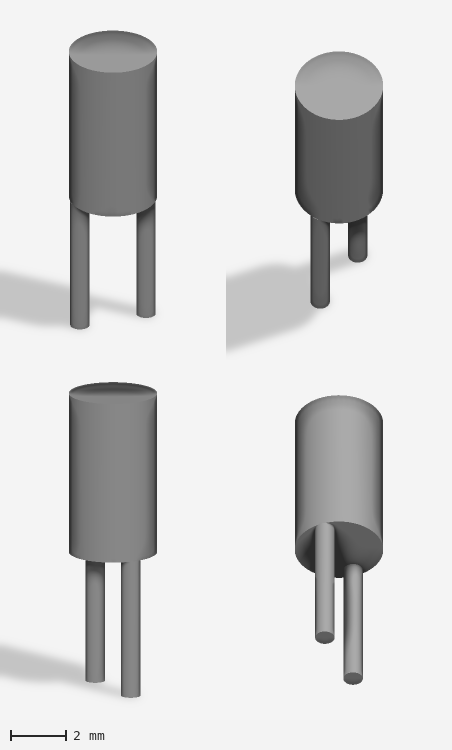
import cadquery as cq

TOTAL_HEIGHT = 11.0
BODY_DIAMETER = 3.2
BODY_HEIGHT = 5.92
LEAD_DIAMETER = 0.7
LEAD_PITCH = 2.54

LEAD_LENGTH = TOTAL_HEIGHT - BODY_HEIGHT


def make_body():
    """Plain upright cylinder with its bottom face at Z = 0."""
    return cq.Workplane("XY").circle(BODY_DIAMETER / 2).extrude(BODY_HEIGHT)


def make_lead(y_centre):
    """Round lead hanging down from the bottom face of the body."""
    return cq.Workplane("XY").center(0, y_centre).circle(LEAD_DIAMETER / 2).extrude(-LEAD_LENGTH)


body = make_body()

leads = []
for side in (-1, 1):
    lead = make_lead(side * LEAD_PITCH / 2)
    leads.append(lead.val())

result = cq.Compound.makeCompound([body.val(), *leads])